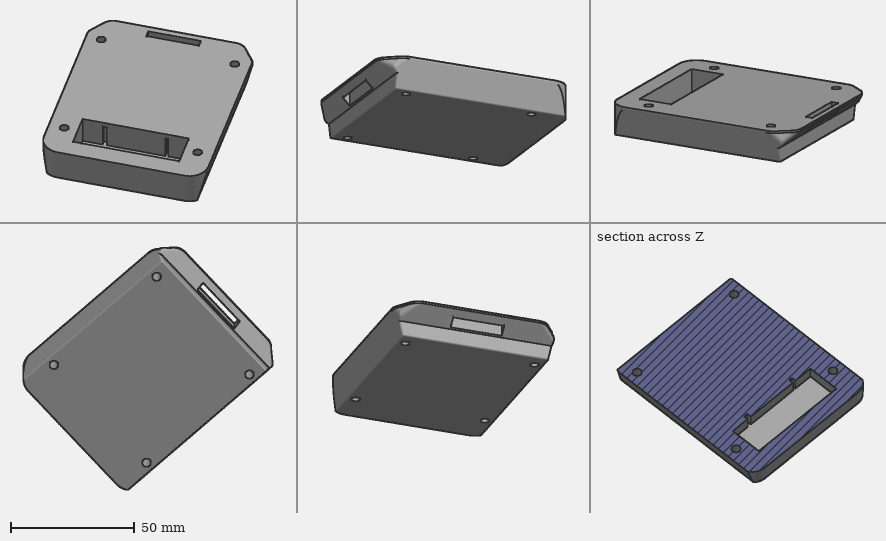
import cadquery as cq
import math

width = 69.3
length = 84.1
height = 13.7

rim_height = 0.9
rim_bottom = height - rim_height
base_half_width = 31.7
base_length = 77.8
overhang = length - base_length
edge_radius = 0.9
base_edge_radius = 0.75

front_corner_radius = 7.9
corner_cut_x = 6.6
corner_cut_y = 9.2
facet_drop = 3.2
facet_flare = 1.8
rear_round_radius = 5.9
rim_side_radius = 5.05
ridge_round_radius = 1.9
side_round_radius = 2.5

screw_diameter = 3.5
screw_spacing = 56.2
front_screw_y = 15.2
pocket_width = 44.75
pocket_length = 14.55
pocket_front = 7.9
pocket_floor = 1.85
notch_center_x = 13.0
left_notch_width = 1.8
right_notch_width = 1.3
notch_depth = 2.0
notch_top = 11.35
slot_width = 22.2
slot_length = 3.0
slot_rear_wall = 2.7

half_width = width / 2
corner_normal_length = math.hypot(corner_cut_x, corner_cut_y)
facet_tilt = facet_flare / facet_drop
slope_foot = rim_bottom - overhang
mirror_sides = (-1, 1)


def rim_plate():
    """Flat top plate with diagonal, rounded rear corners."""
    points = [
        (-half_width, 0),
        (half_width, 0),
        (half_width, length - corner_cut_y),
        (half_width - corner_cut_x, length),
        (-half_width + corner_cut_x, length),
        (-half_width, length - corner_cut_y),
    ]
    plate = cq.Workplane("XY").workplane(offset=rim_bottom).polyline(points).close().extrude(rim_height)
    plate = plate.edges("|Z and >Y").fillet(rear_round_radius)
    edge_margin = 0.8
    rear_side_edges = cq.selectors.BoxSelector(
        (-width, length - corner_cut_y - edge_margin, 0),
        (width, length - corner_cut_y + edge_margin, height),
    )
    return plate.edges("|Z").edges(rear_side_edges).fillet(rim_side_radius)


def corner_cutter(side):
    """Half space outside a rear corner facet, which flares outward below the rim."""
    normal = (side * corner_cut_y / corner_normal_length, corner_cut_x / corner_normal_length, facet_tilt)
    along = (side * -corner_cut_x, corner_cut_y, 0)
    origin = (side * half_width, length - corner_cut_y, rim_bottom)
    return cq.Workplane(cq.Plane(origin, along, normal)).rect(2 * width, 2 * width).extrude(width)


def tapered_block(block_length):
    """Block below the rim whose sides lean inward toward the base."""
    return (
        cq.Workplane("XZ")
        .polyline([
            (-base_half_width, 0),
            (base_half_width, 0),
            (half_width, rim_bottom),
            (-half_width, rim_bottom),
        ])
        .close()
        .extrude(-block_length)
    )


def cut_corners(body):
    """Trim both rear corners of the body to the facets."""
    for side in mirror_sides:
        body = body.cut(corner_cutter(side))
    return body


def faceted_block():
    """Tapered block with corner facets, rounded where each facet meets a side wall."""
    block = cut_corners(tapered_block(length))
    side_points = [
        (side * half_width, length - corner_cut_y / 2, rim_bottom - facet_drop) for side in mirror_sides
    ]
    return edges_near(block, side_points).fillet(side_round_radius)


def overhang_wedge():
    """Wedge with a 45 degree rear slope, cut by the corner facets and rounded along their ridges."""
    wedge = (
        cq.Workplane("YZ")
        .polyline([
            (0, 0),
            (length - rim_bottom, 0),
            (length + rim_height, height),
            (0, height),
        ])
        .close()
        .extrude(width, both=True)
    )
    wedge = cut_corners(wedge)
    ridge_drop = rim_bottom / 2
    ridge_shift = ridge_drop * (corner_cut_x + facet_tilt * corner_normal_length) / corner_cut_y
    ridge_x = half_width - corner_cut_x + ridge_shift
    ridge_points = [(side * ridge_x, length - ridge_drop, rim_bottom - ridge_drop) for side in mirror_sides]
    return edges_near(wedge, ridge_points).fillet(ridge_round_radius)


def lower_body():
    """Tapered body with a sloping rear overhang and faceted upper corners."""
    overhanging = faceted_block().intersect(overhang_wedge())
    lower_limit = cq.Workplane("XY").box(width, length, slope_foot, centered=(True, False, False))
    body = overhanging.union(tapered_block(base_length).intersect(lower_limit))
    return round_lower_edges(body)


def edges_near(body, points):
    """The edges of the body closest to the given points."""
    picked = body.newObject([])
    for point in points:
        picked = picked.add(body.edges(cq.selectors.NearestToPointSelector(point)))
    return picked


def round_lower_edges(body):
    """Small rounds along the base and rear corners."""
    base_points = [(side * base_half_width, base_length / 2, 0) for side in mirror_sides]
    rear_points = [(side * base_half_width, base_length, slope_foot / 2) for side in mirror_sides]
    overhang_points = [
        (side * half_width, base_length + edge_radius, slope_foot + edge_radius) for side in mirror_sides
    ]
    body = edges_near(body, rear_points + overhang_points).fillet(edge_radius)
    body = edges_near(body, base_points).fillet(base_edge_radius)
    return body


def front_corner_cutter():
    """Everything outside the rounded vertical front corners."""
    envelope = cq.Workplane("XY").box(width, length, height, centered=(True, False, False))
    return envelope.cut(envelope.edges("|Z and <Y").fillet(front_corner_radius))


def pocket():
    """Rectangular pocket with two narrow notches in its rear wall."""
    cutter = (
        cq.Workplane("XY")
        .box(pocket_width, pocket_length, height, centered=(True, False, False))
        .translate((0, pocket_front, pocket_floor))
    )
    for center_x, notch_width in (
        (-notch_center_x, left_notch_width),
        (notch_center_x, right_notch_width),
    ):
        notch = (
            cq.Workplane("XY")
            .box(notch_width, notch_depth, notch_top - pocket_floor, centered=(True, False, False))
            .translate((center_x, pocket_front + pocket_length, pocket_floor))
        )
        cutter = cutter.union(notch)
    return cutter


def screw_holes():
    """Four through holes on a square pattern."""
    return (
        cq.Workplane("XY")
        .center(0, front_screw_y + screw_spacing / 2)
        .rect(screw_spacing, screw_spacing, forConstruction=True)
        .vertices()
        .circle(screw_diameter / 2)
        .extrude(height)
    )


def strap_slot():
    """Through slot near the rear edge."""
    return (
        cq.Workplane("XY")
        .center(0, length - slot_rear_wall - slot_length / 2)
        .rect(slot_width, slot_length)
        .extrude(height)
    )


result = lower_body().union(rim_plate())
result = result.cut(front_corner_cutter())
result = result.cut(pocket())
result = result.cut(screw_holes())
result = result.cut(strap_slot())